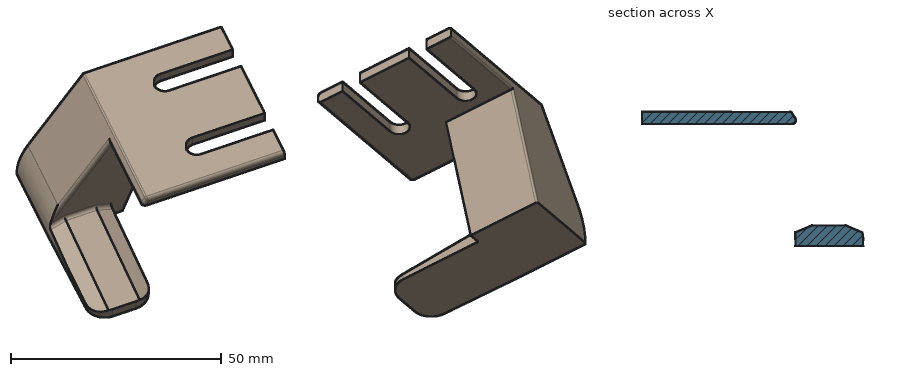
import cadquery as cq
import math

plate_width = 40.0
plate_thickness = 3.0
total_depth = 52.8
total_height = 32.0
plate_bottom = total_height - plate_thickness

slot_width = 5.2
slot_length = 21.2
slot_centers_x = (plate_width / 4, plate_width * 3 / 4)

leg_width = plate_width / 2
leg_foot_depth = 19.2
leg_rear_top_y = 28.8
nose_height = 10.0
front_angle = math.radians(33.0)

nose_radius = nose_height / math.sin(front_angle)
nose_start_y = nose_radius * (1 - math.cos(front_angle))
front_slope = math.tan(front_angle)
front_top_y = nose_start_y + front_slope * (total_height - nose_height)
half_angle = front_angle / 2
nose_mid_y = nose_radius * (1 - math.cos(half_angle))
nose_mid_z = nose_radius * math.sin(half_angle)

part_width = 47.5
finger_rear_y = 16.3
finger_flat_front_y = 4.3
finger_flat_width = 8.0
finger_bevel_width = finger_rear_y - finger_flat_front_y - finger_flat_width
finger_bevel_drop = 1.7
finger_root_height = 5.3
finger_tip_height = 3.0
finger_corner_radius = 5.0
finger_side_angle = 0.85

small_round = 0.5
large_round = 1.0

selection_margin = 0.01


def front_y(z):
    """Y of the straight front slope, continued down past the nose, at height z."""
    return front_top_y - front_slope * (total_height - z)


def extrude_along_x(outline, start_x, end_x):
    """Extrude a closed (Y, Z) outline from start_x to end_x."""
    return outline.close().extrude(end_x - start_x).translate((start_x, 0, 0))


def make_plate_and_leg():
    leg_outline = cq.Workplane("YZ").polyline([
        (front_y(0), 0),
        (leg_foot_depth, 0),
        (leg_rear_top_y, plate_bottom),
        (total_depth, plate_bottom),
        (total_depth, total_height),
        (front_top_y, total_height),
    ])
    plate_outline = cq.Workplane("YZ").polyline([
        (front_y(plate_bottom), plate_bottom),
        (total_depth, plate_bottom),
        (total_depth, total_height),
        (front_top_y, total_height),
    ])
    leg = extrude_along_x(leg_outline, 0, leg_width)
    plate = extrude_along_x(plate_outline, 0, plate_width)
    return leg.union(plate).clean()


def edge_near(body, point):
    return body.edges(cq.selectors.NearestToPointSelector(point)).val()


def round_right_edges(body):
    """Round the right edges of plate and leg and the plate's lower front edge."""
    middle_y = (front_top_y + total_depth) / 2
    middle_z = (plate_bottom + total_height) / 2
    points = [
        (plate_width, middle_y, total_height),
        (plate_width, middle_y, plate_bottom),
        (plate_width, front_y(middle_z), middle_z),
        ((leg_width + plate_width) / 2, front_y(plate_bottom), plate_bottom),
        (leg_width, front_y(plate_bottom / 2), plate_bottom / 2),
    ]
    edges = [edge_near(body, point) for point in points]
    return body.newObject(edges).fillet(large_round)


def make_sloped_bar():
    """Bar with a flat top and two bevels, falling from the leg toward the tip."""
    flat_rear_y = finger_flat_front_y + finger_flat_width
    front_height = finger_root_height - finger_bevel_drop * finger_flat_front_y / finger_bevel_width
    fall = finger_root_height - finger_tip_height
    section = cq.Workplane("YZ", origin=(leg_width, 0, 0)).polyline([
        (0, 0),
        (0, front_height),
        (finger_flat_front_y, finger_root_height),
        (flat_rear_y, finger_root_height),
        (finger_rear_y, finger_root_height - finger_bevel_drop),
        (finger_rear_y, 0),
    ]).close()
    direction = cq.Vector(part_width - leg_width, 0, -fall)
    return cq.Workplane(cq.Solid.extrudeLinear(section.wire().val(), [], direction))


def make_finger():
    """Finger with blended root, tapered front side and rounded tip corners."""
    wall_thickness = 2 * large_round
    blend_wall = (
        cq.Workplane("XY", origin=(leg_width - wall_thickness, 0, 0))
        .box(wall_thickness, finger_rear_y, nose_height, centered=False)
    )
    lowest_root = finger_root_height - finger_bevel_drop
    root_edges = cq.selectors.BoxSelector(
        (leg_width - selection_margin, 0, lowest_root),
        (leg_width + selection_margin, finger_rear_y, finger_root_height + selection_margin),
    )
    blended = blend_wall.union(make_sloped_bar()).edges(root_edges).fillet(large_round)
    taper = (part_width - leg_width) * math.tan(math.radians(finger_side_angle))
    footprint = (
        cq.Workplane("XY").polyline([
            (leg_width, 0),
            (part_width, taper),
            (part_width, finger_rear_y),
            (leg_width, finger_rear_y),
        ]).close().extrude(nose_height)
        .edges("|Z and >X").fillet(finger_corner_radius)
    )
    return footprint.intersect(blended)


def trim_nose(body):
    """Cut the front down to the nose arc, straight through leg and finger."""
    envelope_outline = (
        cq.Workplane("YZ").moveTo(0, 0)
        .threePointArc((nose_mid_y, nose_mid_z), (nose_start_y, nose_height))
        .lineTo(front_top_y, total_height)
        .lineTo(total_depth, total_height)
        .lineTo(total_depth, 0)
    )
    return body.intersect(extrude_along_x(envelope_outline, 0, part_width))


def round_left_and_top_edges(body):
    """Round the left outline of plate and leg, and the top front edge of the plate."""
    left_edges = body.faces("<X").edges().edges("not(<Z or >Y)")
    top_front_edge = body.faces(">Z").edges("<Y")
    return body.newObject(left_edges.vals() + top_front_edge.vals()).fillet(small_round)


def cut_slots(body):
    for center_x in slot_centers_x:
        end_center_y = total_depth - slot_length + slot_width / 2
        slot = (
            cq.Workplane("XY", origin=(center_x, 0, plate_bottom))
            .moveTo(-slot_width / 2, total_depth)
            .lineTo(-slot_width / 2, end_center_y)
            .threePointArc((0, total_depth - slot_length), (slot_width / 2, end_center_y))
            .lineTo(slot_width / 2, total_depth)
            .close().extrude(plate_thickness)
        )
        body = body.cut(slot)
    return body


part = round_right_edges(make_plate_and_leg())
part = part.union(make_finger())
part = trim_nose(part)
part = round_left_and_top_edges(part)
result = cut_slots(part)